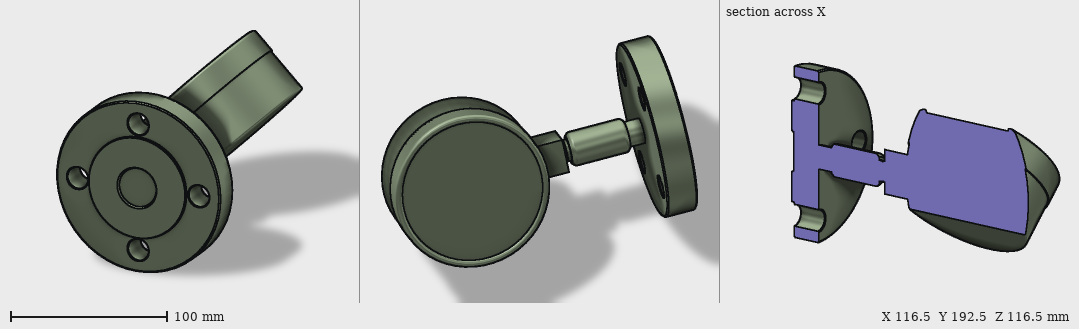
import cadquery as cq
import math

overall_length = 192.5

flange_radius = 57.5
flange_front = 2.0
flange_back = 22.1
flange_chamfer = 1.0
raised_face_radius = 34.0
raised_face_chamfer = 0.4
bolt_count = 4
bolt_circle_radius = 42.5
bolt_hole_radius = 7.1
bolt_hole_chamfer = 0.5
diaphragm_rim_radius = 13.9
diaphragm_radius = 12.9
diaphragm_depth = 1.3

pipe_radius = 8.3
sensor_radius = 11.2
sensor_start = 32.1
sensor_end = 71.0
sensor_chamfer = 2.1
sensor_edge_round = 2.1
neck_radius = 7.1
neck_groove_radius = 6.7
neck_groove_start = 73.3
neck_groove_end = 74.0

connector_start = 75.3
connector_side = 22.1

bezel_radius = 50.5
case_radius = 49.7
case_back = -14.6
case_back_round = 0.8
bezel_back = 16.5
bezel_rim_start = 32.0
rim_round = 2.3
dial_level = 33.0
dial_bevel = 0.5
dial_tilt = -45
gauge_centre = overall_length - bezel_radius


def disc(radius, start, end):
    """Solid cylinder on the Y axis between two Y positions."""
    return cq.Workplane("XZ", origin=(0, start, 0)).circle(radius).extrude(start - end)


def make_flange():
    plate = disc(flange_radius, flange_front, flange_back).edges().chamfer(flange_chamfer)
    holes = (
        cq.Workplane("XZ", origin=(0, flange_front, 0))
        .polarArray(bolt_circle_radius, 0, 360, bolt_count)
        .circle(bolt_hole_radius)
        .extrude(flange_front - flange_back)
    )
    plate = plate.cut(holes)
    hole_rims = cq.selectors.RadiusNthSelector(0)
    plate = plate.edges(hole_rims).chamfer(bolt_hole_chamfer)
    raised_face = disc(raised_face_radius, 0, flange_front).faces("<Y").chamfer(raised_face_chamfer)
    recess = (
        cq.Workplane("XY")
        .lineTo(diaphragm_rim_radius, 0)
        .lineTo(diaphragm_radius, diaphragm_depth)
        .lineTo(0, diaphragm_depth)
        .close()
        .revolve(360, (0, 0, 0), (0, 1, 0))
    )
    return plate.union(raised_face).cut(recess)


def make_stem():
    pipe = disc(pipe_radius, flange_back, sensor_start)
    sensor = disc(sensor_radius, sensor_start, sensor_end).edges().chamfer(sensor_chamfer)
    shoulders = cq.selectors.RadiusNthSelector(-1)
    sensor = sensor.edges(shoulders).fillet(sensor_edge_round)
    neck = disc(neck_radius, sensor_end, neck_groove_start)
    groove_core = disc(neck_groove_radius, neck_groove_start, neck_groove_end)
    collar = disc(neck_radius, neck_groove_end, connector_start)
    return pipe.union(sensor).union(neck).union(groove_core).union(collar)


def make_gauge():
    """Gauge case and square connector, built with the dial axis along Z."""
    case = (
        cq.Workplane("XY", origin=(0, gauge_centre, case_back))
        .circle(case_radius)
        .extrude(bezel_back - case_back)
        .faces("<Z")
        .edges()
        .fillet(case_back_round)
    )
    rim_centre_radius = bezel_radius - rim_round
    bevel_top = dial_level + dial_bevel
    bevel_radius = rim_centre_radius - math.sqrt(rim_round**2 - (bevel_top - bezel_rim_start)**2)
    rim_crest = (rim_centre_radius, bezel_rim_start + rim_round)
    bezel = (
        cq.Workplane("XZ")
        .moveTo(0, bezel_back)
        .lineTo(bezel_radius, bezel_back)
        .lineTo(bezel_radius, bezel_rim_start)
        .threePointArc(rim_crest, (bevel_radius, bevel_top))
        .lineTo(bevel_radius - dial_bevel, dial_level)
        .lineTo(0, dial_level)
        .close()
        .revolve(360, (0, 0, 0), (0, 1, 0))
        .translate((0, gauge_centre, 0))
    )
    connector = (
        cq.Workplane("XZ", origin=(0, connector_start, 0))
        .rect(connector_side, connector_side)
        .extrude(connector_start - gauge_centre)
    )
    gauge = case.union(bezel).union(connector)
    return gauge.rotate((0, 0, 0), (0, 1, 0), dial_tilt)


result = make_flange().union(make_stem()).union(make_gauge())